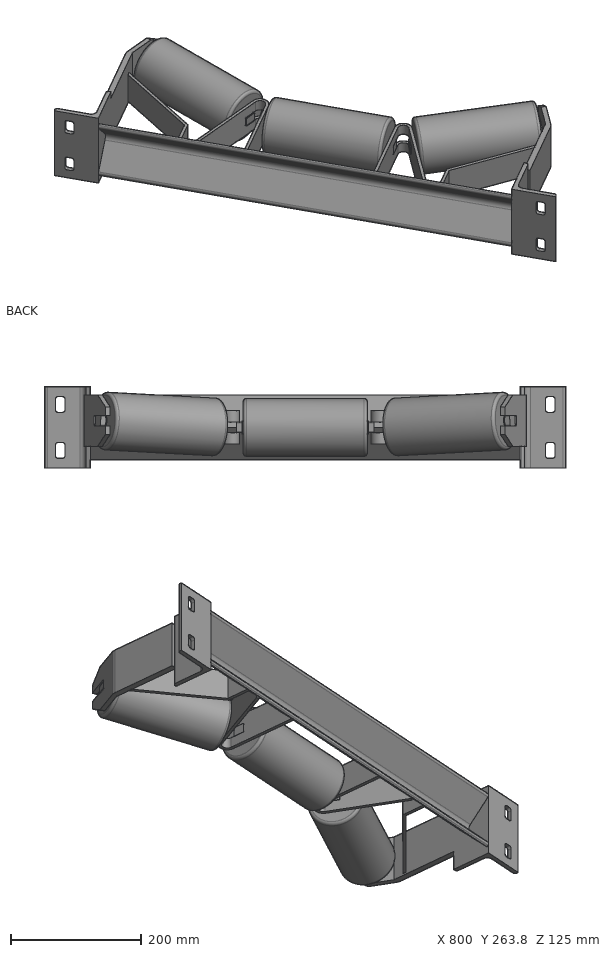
import cadquery as cq
import math


LEG = 70.0
LEG_THICK = 7.0
ROOT_RADIUS = 9.0
TOE_RADIUS = 4.4

HALF_LENGTH = 400.0
BEAM_HALF = HALF_LENGTH - LEG
FOOT_WIDTH = 125.0
BEAM_APEX_Y = (LEG + LEG_THICK - (2 - math.sqrt(2)) * TOE_RADIUS) / math.sqrt(2)
SLOT_WIDTH = 14.0
SLOT_LENGTH = 24.0
SLOT_CORNER = 4.0
SLOT_EDGE = 24.0
SLOT_Z = 35.0

ROLLER_DIAMETER = 89.0
ROLLER_RADIUS = ROLLER_DIAMETER / 2
ROLLER_LENGTH = 190.0
ROLLER_RIM = 5.0
AXLE_DIAMETER = 20.0
AXLE_RADIUS = AXLE_DIAMETER / 2
AXLE_HALF = 106.0
AXLE_STUB = 2.0
AXLE_BARREL_HALF = ROLLER_LENGTH / 2 + AXLE_STUB
AXLE_END_DEPTH = 19.0
AXLE_END_WIDTH = 16.0
AXLE_END_CORNER = 2.0
MIDDLE_Y = 134.0
SIDE_X = 222.0
SIDE_Y = 185.0
TROUGH_ANGLE = 25.0
FORWARD_RISE = 10.0
FORWARD_TILT = math.asin(FORWARD_RISE / (2 * AXLE_HALF))
TROUGH = math.radians(TROUGH_ANGLE)

POST_THICK = 10.0
POST_WIDTH = 79.0
POST_Z = FORWARD_RISE
POST_TOP = 190.0
HEAD_THICK = 8.0
HEAD_LENGTH = 71.0
HEAD_CORNER_LENGTH = 28.0
HEAD_CORNER_WIDTH = 18.0
POST_BEVEL = 5.0

SHEET = 5.0
SHEET_WIDTH = 51.0
SHEET_BOTTOM = BEAM_APEX_Y - SHEET_WIDTH / 2
INCLINE_BOTTOM = 30.0
INCLINE_SETBACK = 102.0
FOLD_RADIUS = 11.0
STRUT_X = 209.0
STRUT_BEND = 66.0
STRUT_TOP = 166.0


def angle_iron(length):
    """L profile in the XY plane with its outer corner at the origin, extruded along +Z."""
    inner = LEG_THICK
    outline = [(0, 0), (LEG, 0), (LEG, inner), (inner, inner), (inner, LEG), (0, LEG)]
    bar = cq.Workplane("XY").polyline(outline).close().extrude(length)
    rounds = [(inner, inner, ROOT_RADIUS), (LEG, inner, TOE_RADIUS), (inner, LEG, TOE_RADIUS)]
    for x, y, radius in rounds:
        corner = cq.selectors.NearestToPointSelector((x, y, length / 2))
        bar = bar.edges("|Z").edges(corner).fillet(radius)
    return bar


def centred_bar(plane, radius, half_length):
    """Cylinder along the plane normal, centred on the plane origin."""
    return cq.Workplane(plane).workplane(offset=-half_length).circle(radius).extrude(2 * half_length)


def axle(plane):
    """Axle that is round inside the roller, with rectangular ends for the slots of its supports."""
    ends = cq.Workplane(plane).box(AXLE_END_DEPTH, AXLE_END_WIDTH, 2 * AXLE_HALF)
    ends = ends.edges(cq.selectors.ParallelDirSelector(plane.zDir)).fillet(AXLE_END_CORNER)
    barrel = centred_bar(plane, AXLE_RADIUS, AXLE_BARREL_HALF)
    inside_barrel = centred_bar(plane, AXLE_END_DEPTH, AXLE_BARREL_HALF)
    return ends.cut(inside_barrel).union(barrel)


def axle_slot(plane):
    """Drop-in slot that fits the axle ends and opens toward local +X."""
    opening = (
        cq.Workplane(plane)
        .center(HEAD_LENGTH / 2 - AXLE_END_DEPTH / 2, 0)
        .box(HEAD_LENGTH, AXLE_END_WIDTH, 2 * AXLE_HALF + 2 * HEAD_THICK)
    )
    return opening.edges(cq.selectors.ParallelDirSelector(plane.zDir)).fillet(AXLE_END_CORNER)


def roller(plane):
    """Roller shell with rounded rims and a bore that fits its axle."""
    shell = centred_bar(plane, ROLLER_RADIUS, ROLLER_LENGTH / 2)
    shell = shell.edges("%CIRCLE").fillet(ROLLER_RIM)
    return shell.cut(axle(plane))


def side_plane(side):
    """Frame of an inclined roller: normal along its axis, local X up across the trough."""
    outward = (
        side * math.cos(TROUGH) * math.cos(FORWARD_TILT),
        math.sin(TROUGH) * math.cos(FORWARD_TILT),
        math.sin(FORWARD_TILT),
    )
    across = (-side * math.sin(TROUGH), math.cos(TROUGH), 0)
    return cq.Plane(origin=(side * SIDE_X, SIDE_Y, FORWARD_RISE / 2), xDir=across, normal=outward)


MIDDLE_PLANE = cq.Plane(origin=(0, MIDDLE_Y, 0), xDir=(0, 1, 0), normal=(1, 0, 0))
LEFT_PLANE = side_plane(-1)
RIGHT_PLANE = side_plane(1)


def beam_saddle():
    """Wedge below the outer faces of the beam, which the sheets straddle."""
    outline = [
        (BEAM_APEX_Y, 0),
        (0, BEAM_APEX_Y),
        (-BEAM_APEX_Y, BEAM_APEX_Y),
        (-BEAM_APEX_Y, -BEAM_APEX_Y),
        (0, -BEAM_APEX_Y),
    ]
    return cq.Workplane("YZ").polyline(outline).close().extrude(BEAM_HALF, both=True)


def beam():
    """Angle iron along X with its outer corner pointing up the trough and both legs at 45 degrees."""
    bar = angle_iron(2 * BEAM_HALF).translate((0, 0, -BEAM_HALF))
    bar = bar.rotate((0, 0, 0), (0, 0, 1), -135).rotate((0, 0, 0), (0, 1, 0), 90)
    return bar.translate((0, BEAM_APEX_Y, 0))


def bracket():
    """Sheet folded over between the middle roller and the right roller."""
    upright_x = AXLE_HALF - SHEET / 2
    incline_distance = SIDE_X * math.cos(TROUGH) + SIDE_Y * math.sin(TROUGH) - INCLINE_SETBACK
    fold_x = upright_x + FOLD_RADIUS
    fold_y = (incline_distance - FOLD_RADIUS - fold_x * math.cos(TROUGH)) / math.sin(TROUGH)
    incline_length = (fold_y + FOLD_RADIUS * math.sin(TROUGH) - INCLINE_BOTTOM) / math.cos(TROUGH)

    def fold_point(radius, angle, down=0.0):
        """Point at an angle on the fold, moved down along the inclined leg."""
        return (
            fold_x + radius * math.cos(angle) + down * math.sin(TROUGH),
            fold_y + radius * math.sin(angle) - down * math.cos(TROUGH),
        )

    inner = FOLD_RADIUS - SHEET / 2
    outer = FOLD_RADIUS + SHEET / 2
    crown = (math.pi + TROUGH) / 2
    folded = (
        cq.Workplane("XY")
        .workplane(offset=-SHEET_WIDTH / 2)
        .moveTo(fold_x - outer, SHEET_BOTTOM)
        .lineTo(fold_x - outer, fold_y)
        .threePointArc(fold_point(outer, crown), fold_point(outer, TROUGH))
        .lineTo(*fold_point(outer, TROUGH, incline_length))
        .lineTo(*fold_point(inner, TROUGH, incline_length))
        .lineTo(*fold_point(inner, TROUGH))
        .threePointArc(fold_point(inner, crown), (fold_x - inner, fold_y))
        .lineTo(fold_x - inner, SHEET_BOTTOM)
        .close()
        .extrude(SHEET_WIDTH)
    )
    return folded.cut(beam_saddle()).cut(axle_slot(MIDDLE_PLANE)).cut(axle_slot(RIGHT_PLANE))


def foot():
    """Upright angle iron at the beam end with two bolt slots in its outward leg."""
    base = angle_iron(FOOT_WIDTH).translate((BEAM_HALF, 0, -FOOT_WIDTH / 2))
    slots = (
        cq.Workplane("XZ")
        .pushPoints([(HALF_LENGTH - SLOT_EDGE, z) for z in (-SLOT_Z, SLOT_Z)])
        .rect(SLOT_WIDTH, SLOT_LENGTH)
        .extrude(-LEG_THICK)
        .edges("|Y")
        .fillet(SLOT_CORNER)
    )
    return base.cut(slots)


def post():
    """Upright plate on the foot, bevelled where the head leans inward."""
    outer_x = BEAM_HALF + POST_THICK
    outline = [
        (BEAM_HALF, LEG),
        (outer_x, LEG),
        (outer_x, POST_TOP - POST_BEVEL),
        (BEAM_HALF + HEAD_THICK / math.cos(TROUGH), POST_TOP),
        (BEAM_HALF, POST_TOP),
    ]
    plate = cq.Workplane("XY").workplane(offset=POST_Z - POST_WIDTH / 2).polyline(outline).close()
    return plate.extrude(POST_WIDTH)


def head():
    """Inclined plate on the post, with cut corners and an axle slot."""
    plane = cq.Plane(
        origin=(BEAM_HALF, POST_TOP, POST_Z),
        xDir=(-math.sin(TROUGH), math.cos(TROUGH), 0),
        normal=(math.cos(TROUGH), math.sin(TROUGH), 0),
    )
    half = POST_WIDTH / 2
    root = -HEAD_THICK
    shoulder = HEAD_LENGTH - HEAD_CORNER_LENGTH
    narrow = half - HEAD_CORNER_WIDTH
    outline = [
        (root, -half),
        (shoulder, -half),
        (HEAD_LENGTH, -narrow),
        (HEAD_LENGTH, narrow),
        (shoulder, half),
        (root, half),
    ]
    plate = cq.Workplane(plane).polyline(outline).close().extrude(HEAD_THICK)
    below = cq.Workplane("XY").box(LEG, POST_TOP, FOOT_WIDTH, centered=(True, False, True))
    return plate.cut(below.translate((BEAM_HALF, 0, 0))).cut(axle_slot(RIGHT_PLANE))


def strut():
    """Bent sheet from the beam to the inner face of the post."""
    near_x = STRUT_X - SHEET / 2
    far_x = STRUT_X + SHEET / 2
    slope = math.atan2(STRUT_TOP - STRUT_BEND, BEAM_HALF - far_x)
    height = SHEET / math.cos(slope)
    outline = [
        (near_x, SHEET_BOTTOM),
        (far_x, SHEET_BOTTOM),
        (far_x, STRUT_BEND),
        (BEAM_HALF, STRUT_TOP),
        (BEAM_HALF, STRUT_TOP + height),
        (near_x, STRUT_BEND + height - SHEET * math.tan(slope)),
    ]
    plate = cq.Workplane("XY").workplane(offset=-SHEET_WIDTH / 2).polyline(outline).close()
    return plate.extrude(SHEET_WIDTH).cut(beam_saddle())


right_bracket = bracket()
crossbeam = beam().union(right_bracket).union(right_bracket.mirror("YZ"))

right_support = foot().union(post()).union(head()).union(strut())
supports = [right_support, right_support.mirror("YZ")]

roller_planes = [LEFT_PLANE, MIDDLE_PLANE, RIGHT_PLANE]
rollers = [roller(plane) for plane in roller_planes]
axles = [axle(plane) for plane in roller_planes]

bodies = [crossbeam, *supports, *rollers, *axles]
result = cq.Compound.makeCompound([body.solids().val() for body in bodies])